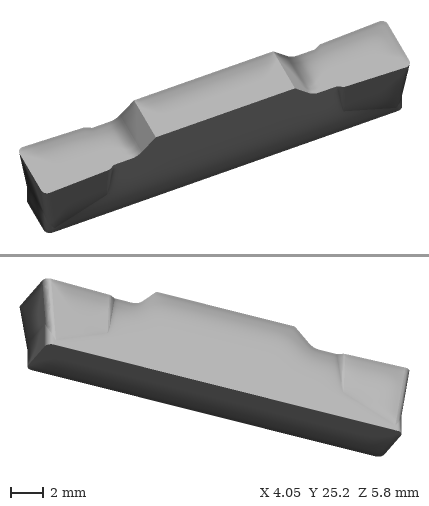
import cadquery as cq
import math

length = 25.2
head_width = 4.05
shank_width = 3.27
total_height = 5.8
head_height = 4.53

shank_length = 24.48
shank_corner_radius = 0.43
ridge_length = 9.52
ramp_fillet_radius = 1.0

head_corner_radius = 0.4
head_side_length = 4.55
side_taper = 2.1
side_relief = 5.1
end_relief = 7.0
neck_angle = 30.0
neck_run = 0.75
neck_fillet_radius = 0.3


def slope(degrees):
    return math.tan(math.radians(degrees))


def make_shank():
    half_ridge = ridge_length / 2
    half_shank = shank_length / 2
    ramp_foot = half_ridge + total_height - head_height
    profile = [
        (-half_shank, 0),
        (half_shank, 0),
        (half_shank, head_height),
        (ramp_foot, head_height),
        (half_ridge, total_height),
        (-half_ridge, total_height),
        (-ramp_foot, head_height),
        (-half_shank, head_height),
    ]
    shank = cq.Workplane("YZ").polyline(profile).close().extrude(shank_width / 2, both=True)
    shank = shank.edges("|Z").fillet(shank_corner_radius)
    for y in (-ramp_foot, ramp_foot):
        foot_edge = cq.selectors.NearestToPointSelector((0, y, head_height))
        shank = shank.edges(foot_edge).fillet(ramp_fillet_radius)
    return shank


def head_outline(depth):
    """Sharp outline of the +Y head at a depth below its top face."""
    corner_overhang = head_corner_radius * slope(side_taper)
    end_y = length / 2 - depth * slope(end_relief)
    neck_y = length / 2 - head_side_length
    sharp_half_width = head_width / 2 + corner_overhang - depth * slope(side_relief)
    end_x = sharp_half_width - (length / 2 - end_y) * slope(side_taper)
    neck_x = sharp_half_width - head_side_length * slope(side_taper)
    inner_x = neck_x - neck_run * slope(neck_angle)
    right_side = [(inner_x, neck_y - neck_run), (neck_x, neck_y), (end_x, end_y)]
    left_side = [(-x, y) for x, y in reversed(right_side)]
    return right_side + left_side


def make_head():
    head = (
        cq.Workplane("XY")
        .polyline(head_outline(head_height))
        .close()
        .workplane(offset=head_height)
        .polyline(head_outline(0))
        .close()
        .loft(ruled=True)
    )
    middle = head_outline(head_height / 2)
    corners = [middle[2], middle[3]]
    necks = [middle[1], middle[4]]
    for points, radius in ((corners, head_corner_radius), (necks, neck_fillet_radius)):
        for x, y in points:
            edge = cq.selectors.NearestToPointSelector((x, y, head_height / 2))
            head = head.edges(edge).fillet(radius)
    return head


head = make_head()
result = make_shank().union(head).union(head.mirror("XZ"))